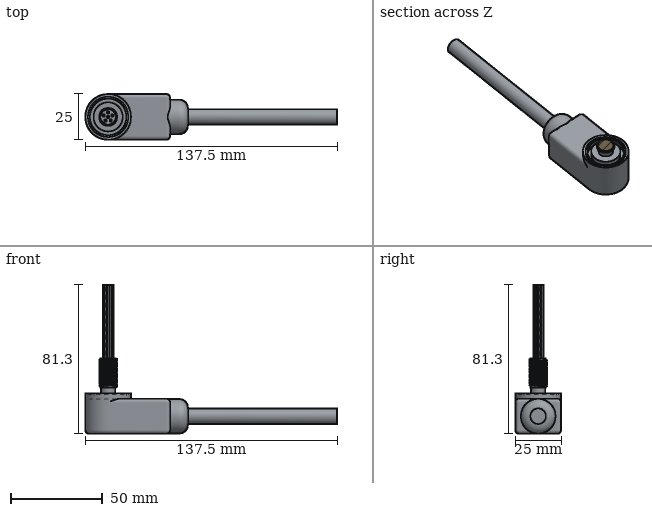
import cadquery as cq
import math

hub_diameter = 25.0
hub_radius = hub_diameter / 2
hub_height = 22.3
total_length = 137.5
total_height = 81.3

body_height = 19.2
body_end = 33.8
body_fillet = 2.0

cable_axis_height = body_height / 2
collar_diameter = 19.0
collar_end = 43.6
collar_fillet = 4.8
cable_diameter = 8.5
cable_end = total_length - hub_radius

rim_diameter = 22.0
rim_step_depth = 0.5
recess_diameter = 20.0
plug_diameter = 16.0
recess_depth = 3.0

neck_diameter = 8.0
thread_diameter = 9.8
thread_root_diameter = 8.5
thread_pitch = 1.0
thread_bottom = 25.3
thread_top = 41.4
ridge_base_width = 0.9 * thread_pitch
ridge_crest_width = 0.08
ridge_embedding = 0.3

wire_diameter = 1.25
wire_circle_radius = 2.5
ring_wire_count = 5
first_wire_angle = 90


def cylinder(diameter, bottom, top):
    """Vertical cylinder on the hub axis."""
    return cq.Workplane("XY").workplane(offset=bottom).circle(diameter / 2).extrude(top - bottom)


def cylinder_along_x(diameter, start, end):
    """Cylinder on the cable axis."""
    plane = cq.Workplane("YZ", origin=(start, 0, cable_axis_height))
    return plane.circle(diameter / 2).extrude(end - start)


def make_housing():
    """Rounded body with the taller round hub at its front end."""
    body = (
        cq.Workplane("XY")
        .moveTo(0, hub_radius)
        .lineTo(body_end, hub_radius)
        .lineTo(body_end, -hub_radius)
        .lineTo(0, -hub_radius)
        .threePointArc((-hub_radius, 0), (0, hub_radius))
        .close()
        .extrude(body_height)
        .edges("|Z and >X")
        .fillet(body_fillet)
        .faces("<Z or >Z")
        .edges()
        .fillet(body_fillet)
    )
    return body.union(cylinder(hub_diameter, body_fillet, hub_height))


def make_hub_recess():
    """Stepped ring recess that leaves a round plug standing in the hub."""
    rim_step = cylinder(rim_diameter, hub_height - rim_step_depth, hub_height)
    recess = cylinder(recess_diameter, hub_height - recess_depth, hub_height)
    plug = cylinder(plug_diameter, hub_height - recess_depth, hub_height)
    return rim_step.union(recess).cut(plug)


def make_cable():
    """Strain relief with a rounded end, and the cable through it."""
    collar = cylinder_along_x(collar_diameter, body_end / 2, collar_end)
    collar = collar.faces(">X").edges().fillet(collar_fillet)
    return collar.union(cylinder_along_x(cable_diameter, body_end, cable_end))


def make_threaded_stem():
    """Core with a helical thread ridge wound around it between its two ends."""
    core = cylinder(thread_root_diameter, thread_bottom, thread_top)
    helix_start = thread_bottom + thread_pitch / 2
    helix_height = thread_top - thread_bottom - thread_pitch
    root_radius = thread_root_diameter / 2
    helix = cq.Wire.makeHelix(thread_pitch, helix_height, root_radius, cq.Vector(0, 0, helix_start))
    inner_radius = root_radius - ridge_embedding
    crest_radius = thread_diameter / 2
    ridge = (
        cq.Workplane("XZ")
        .moveTo(inner_radius, helix_start - ridge_base_width / 2)
        .lineTo(crest_radius, helix_start - ridge_crest_width / 2)
        .lineTo(crest_radius, helix_start + ridge_crest_width / 2)
        .lineTo(inner_radius, helix_start + ridge_base_width / 2)
        .close()
        .sweep(cq.Workplane(obj=helix), isFrenet=True)
    )
    return core.union(ridge)


def make_wires():
    """Straight wires standing on the end of the stem."""
    points = [(0, 0)]
    for index in range(ring_wire_count):
        angle = math.radians(first_wire_angle + index * 360 / ring_wire_count)
        points.append((wire_circle_radius * math.cos(angle), wire_circle_radius * math.sin(angle)))
    wires = cq.Workplane("XY").workplane(offset=thread_top).pushPoints(points)
    return wires.circle(wire_diameter / 2).extrude(total_height - thread_top)


housing = make_housing().union(make_cable()).cut(make_hub_recess())
neck = cylinder(neck_diameter, hub_height, thread_bottom)
result = housing.union(neck).union(make_threaded_stem()).union(make_wires())